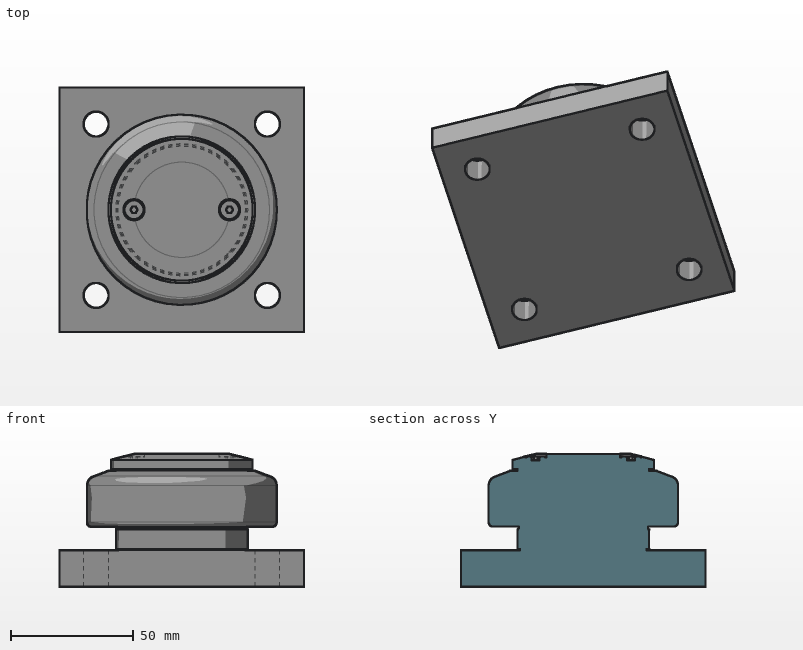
import cadquery as cq
import math

plate_side = 100.0
plate_thickness = 15.0
bolt_hole_diameter = 10.11
bolt_hole_pitch = 70.0

neck_radius = 54.0 / 2
neck_groove_radius = 52.0 / 2
neck_top = 24.0
neck_chamfer = 0.5
neck_foot_groove = 0.4

roller_bottom = 24.5
roller_rim_radius = 38.84
roller_crown_radius = 38.9
roller_bottom_fillet = 2.0
roller_top_fillet = 4.0
roller_fillet_end = 41.4
roller_top_fillet_sweep = math.radians(75)
roller_face_radius = 60.0 / 2
roller_top = 47.5

cap_radius = 58.0 / 2
cap_gap = 0.6
cap_gap_radius = 54.0 / 2
cap_flat_radius = 39.0 / 2
cap_cone_angle = math.radians(15)
overall_height = 54.5

screw_offset = cap_flat_radius
recess_diameter = 8.6
screw_head_diameter = 7.8
recess_depth = 1.5
socket_width = 2.9
socket_depth = 1.5
screw_head_height = 0.3


def make_plate():
    """Square plate standing on Z = 0 with four through bolt holes."""
    return (
        cq.Workplane("XY")
        .rect(plate_side, plate_side)
        .extrude(plate_thickness)
        .faces(">Z")
        .workplane()
        .rect(bolt_hole_pitch, bolt_hole_pitch, forConstruction=True)
        .vertices()
        .hole(bolt_hole_diameter)
    )


def make_turned_body():
    """Neck, crowned roller and cap as one revolved profile about Z."""
    neck_foot = plate_thickness + neck_foot_groove

    rim_bottom = roller_bottom + roller_bottom_fillet
    rim_middle = (rim_bottom + roller_fillet_end) / 2
    low_fillet_center_r = roller_rim_radius - roller_bottom_fillet
    low_fillet_mid = roller_bottom_fillet * math.sqrt(0.5)

    top_fillet_center_r = roller_rim_radius - roller_top_fillet

    def top_fillet_point(angle):
        return (
            top_fillet_center_r + roller_top_fillet * math.cos(angle),
            roller_fillet_end + roller_top_fillet * math.sin(angle),
        )

    cap_bottom = roller_top + cap_gap
    cap_edge = overall_height - (cap_radius - cap_flat_radius) * math.tan(cap_cone_angle)

    profile = (
        cq.Workplane("XZ")
        .moveTo(0, plate_thickness)
        .lineTo(neck_groove_radius, plate_thickness)
        .lineTo(neck_groove_radius, neck_foot)
        .lineTo(neck_radius, neck_foot)
        .lineTo(neck_radius, neck_top - neck_chamfer)
        .lineTo(neck_radius - neck_chamfer, neck_top)
        .lineTo(neck_radius - neck_chamfer, roller_bottom)
        .lineTo(low_fillet_center_r, roller_bottom)
        .threePointArc(
            (low_fillet_center_r + low_fillet_mid, rim_bottom - low_fillet_mid),
            (roller_rim_radius, rim_bottom),
        )
        .threePointArc((roller_crown_radius, rim_middle), (roller_rim_radius, roller_fillet_end))
        .threePointArc(
            top_fillet_point(roller_top_fillet_sweep / 2),
            top_fillet_point(roller_top_fillet_sweep),
        )
        .lineTo(roller_face_radius, roller_top)
        .lineTo(cap_gap_radius, roller_top)
        .lineTo(cap_gap_radius, cap_bottom)
        .lineTo(cap_radius, cap_bottom)
        .lineTo(cap_radius, cap_edge)
        .lineTo(cap_flat_radius, overall_height)
        .lineTo(0, overall_height)
        .close()
    )
    return profile.revolve(360, (0, 0, 0), (0, 1, 0))


def add_screw(body, x):
    """Round recess holding a screw head with a hexagon socket."""
    floor = overall_height - recess_depth
    recess = cq.Workplane("XY", origin=(x, 0, floor)).circle(recess_diameter / 2).extrude(recess_depth)
    head = cq.Workplane("XY", origin=(x, 0, floor)).circle(screw_head_diameter / 2).extrude(screw_head_height)
    socket = (
        cq.Workplane("XY", origin=(x, 0, floor + screw_head_height))
        .polygon(6, socket_width)
        .extrude(-socket_depth)
    )
    return body.cut(recess).union(head).cut(socket)


result = make_plate().union(make_turned_body())
for side in (-1, 1):
    result = add_screw(result, side * screw_offset)